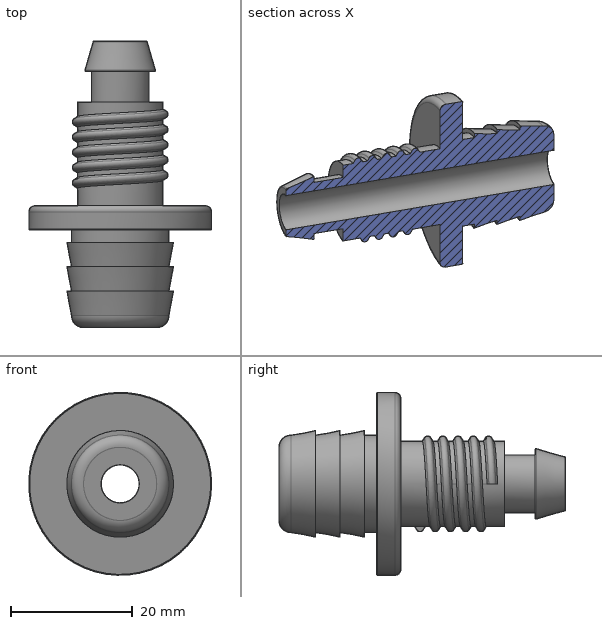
import cadquery as cq


barb_root_radius = 8.0
barb_crest_radius = 8.75
barb_pitch = 4.0
barb_count = 3
nose_length = 2.0
nose_fillet = nose_length

flange_start = 16.0
flange_thickness = 4.0
flange_radius = 15.0
flange_fillet = 1.0
flange_chamfer = 0.15
flange_end = flange_start + flange_thickness

body_radius = 7.0
body_length = 17.0
body_end = flange_end + body_length

thread_crest_radius = 7.85
thread_shoulder_radius = 7.45
thread_pitch = 2.5
thread_turns = 4.75
thread_start = 23.125
thread_base_width = 1.75
thread_shoulder_width = 1.15
thread_embed = 0.2
thread_start_angle = 90.0

neck_radius = 4.75
neck_length = 5.0
neck_end = body_end + neck_length
tip_length = 5.0
tip_crest_radius = 5.85
tip_end_radius = 4.4
tip_edge_fillet = 0.2
total_length = neck_end + tip_length

bore_radius = 3.1


def make_barbed_end():
    """Rounded nose followed by a row of barbs and a plain stretch up to the flange."""
    profile = (
        cq.Workplane("XY")
        .lineTo(barb_root_radius - nose_fillet, 0)
        .radiusArc((barb_root_radius, nose_length), -nose_fillet)
    )
    for index in range(barb_count):
        barb_end = nose_length + (index + 1) * barb_pitch
        profile = profile.lineTo(barb_crest_radius, barb_end).lineTo(barb_root_radius, barb_end)
    profile = profile.lineTo(barb_root_radius, flange_start).lineTo(0, flange_start).close()
    return profile.revolve(360, (0, 0), (0, 1))


def make_disc(radius, start, end):
    """Cylinder about the Y axis between two Y positions."""
    return cq.Workplane("XZ", origin=(0, start, 0)).circle(radius).extrude(start - end)


def make_flange():
    """Disc with a rounded rim on the threaded side and a small chamfer on the other."""
    flange = make_disc(flange_radius, flange_start, flange_end)
    flange = flange.faces(">Y").edges().fillet(flange_fillet)
    return flange.faces("<Y").edges().chamfer(flange_chamfer)


def make_thread():
    """Helical ridge, swept about Z and then turned onto the Y axis."""
    root_radius = body_radius - thread_embed
    half_base = thread_base_width / 2
    half_shoulder = thread_shoulder_width / 2
    flank_slope = (half_base - half_shoulder) / (thread_shoulder_radius - body_radius)
    half_root = half_base + flank_slope * thread_embed
    path = cq.Wire.makeHelix(thread_pitch, thread_pitch * thread_turns, body_radius)
    section = (
        cq.Workplane("XZ")
        .moveTo(root_radius, -half_root)
        .lineTo(thread_shoulder_radius, -half_shoulder)
        .threePointArc((thread_crest_radius, 0), (thread_shoulder_radius, half_shoulder))
        .lineTo(root_radius, half_root)
        .close()
    )
    ridge = section.sweep(cq.Workplane(path), isFrenet=True)
    return (
        ridge.rotate((0, 0, 0), (0, 0, 1), thread_start_angle)
        .rotate((0, 0, 0), (1, 0, 0), -90)
        .translate((0, thread_start, 0))
    )


def make_tip():
    """Single barb with slightly rounded edges at both ends of its cone."""
    cone = (
        cq.Workplane("XY")
        .moveTo(0, neck_end)
        .lineTo(tip_crest_radius, neck_end)
        .lineTo(tip_end_radius, total_length)
        .lineTo(0, total_length)
        .close()
        .revolve(360, (0, 0), (0, 1))
    )
    return cone.faces("<Y or >Y").edges().fillet(tip_edge_fillet)


adapter = (
    make_barbed_end()
    .union(make_flange())
    .union(make_disc(body_radius, flange_end, body_end))
    .union(make_disc(neck_radius, body_end, neck_end))
    .union(make_tip())
    .union(make_thread())
)
result = adapter.cut(make_disc(bore_radius, 0, total_length))